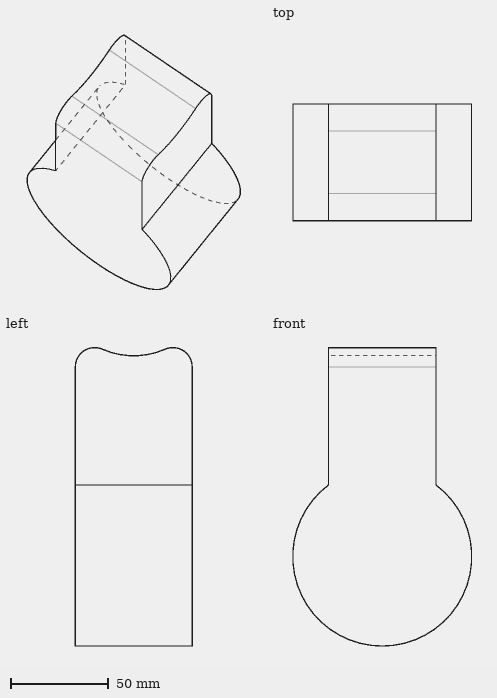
import cadquery as cq
import math

total_height = 153.0
depth = 60.0
disc_diameter = 91.8
neck_width = 55.0
lip_radius = 10.0
saddle_radius = 40.1

disc_radius = disc_diameter / 2
half_depth = depth / 2
top_z = total_height - disc_radius

lip_y = half_depth - lip_radius
lip_z = top_z - lip_radius
centre_distance = lip_radius + saddle_radius
lean = math.asin(lip_y / centre_distance)
tangent_y = saddle_radius * math.sin(lean)
tangent_z = lip_z + lip_radius * math.cos(lean)
saddle_bottom_z = lip_z + centre_distance * math.cos(lean) - saddle_radius


def make_disc():
    """Round body with its axis along Y."""
    return cq.Workplane("XZ").circle(disc_radius).extrude(half_depth, both=True)


def make_neck():
    """Upright neck, rising from the disc centre, with a saddle-shaped top."""
    return (
        cq.Workplane("YZ")
        .moveTo(-half_depth, 0)
        .lineTo(half_depth, 0)
        .lineTo(half_depth, lip_z)
        .threePointArc((lip_y, top_z), (tangent_y, tangent_z))
        .threePointArc((0, saddle_bottom_z), (-tangent_y, tangent_z))
        .threePointArc((-lip_y, top_z), (-half_depth, lip_z))
        .close()
        .extrude(neck_width / 2, both=True)
    )


result = make_disc().union(make_neck())